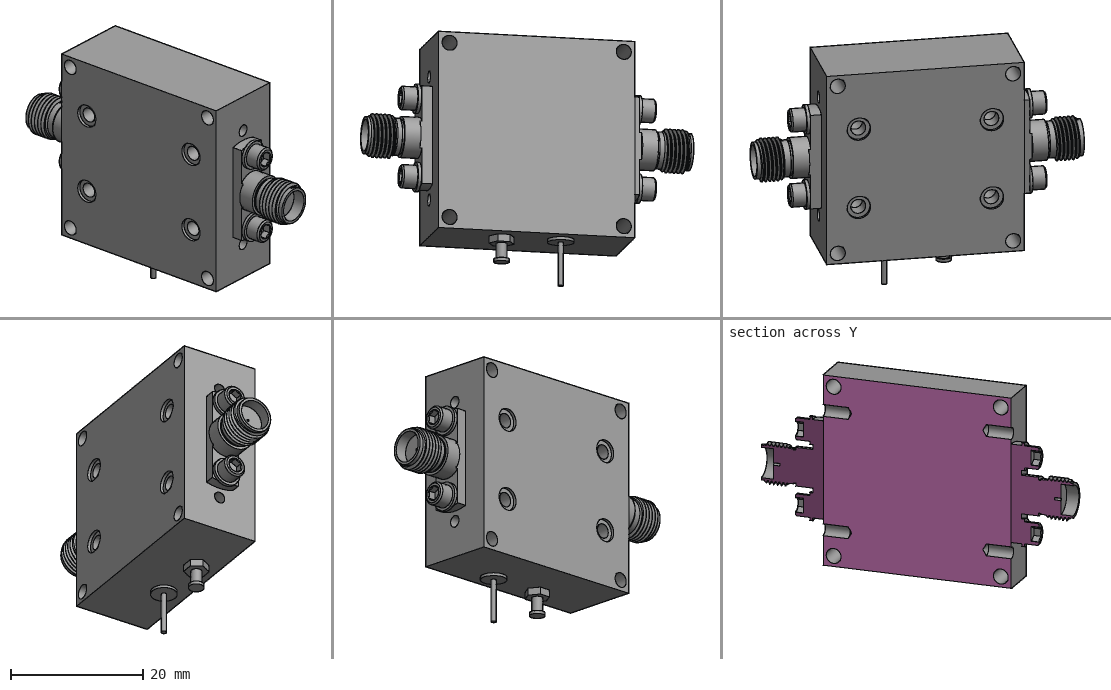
import cadquery as cq
import math

TOTAL_LENGTH = 50.55
HOUSING_SIDE = 30.55
HOUSING_DEPTH = 12.7
HALF_SIDE = HOUSING_SIDE / 2
FRONT_Y = -HOUSING_DEPTH / 2

CORNER_HOLE_SPACING = 27.1
CORNER_HOLE_DIAMETER = 2.35
MOUNT_SPACING_X = 20.55
MOUNT_SPACING_Z = 12.7
MOUNT_DIAMETER = 2.3
MOUNT_RECESS_DIAMETER = 3.6
MOUNT_RECESS_DEPTH = 0.5
MOUNT_HOLE_DEPTH = 3.05
SIDE_HOLE_SPACING = 19.1
SIDE_HOLE_DIAMETER = 1.8
SIDE_HOLE_DEPTH = 4.05
DRILL_POINT_ANGLE = 118.0

TERMINAL_X = 4.6
TERMINAL_Y = 2.6
PIN_DIAMETER = 0.8
PIN_LENGTH = 7.2
PIN_COLLAR_DIAMETER = 4.05
PIN_COLLAR_HEIGHT = 0.45
TURRET_HEX_CORNERS = 3.85
TURRET_HEX_HEIGHT = 1.1
TURRET_POST_DIAMETER = 1.7
TURRET_LENGTH = 4.0
TURRET_TIP_DIAMETER = 2.4
TURRET_TIP_HEIGHT = 0.5

CONNECTOR_LENGTH = (TOTAL_LENGTH - HOUSING_SIDE) / 2
FLANGE_THICKNESS = 1.65
FLANGE_WIDTH = 4.7
FLANGE_END_RADIUS = 7.95
SHOULDER_LENGTH = 0.3
BARREL_DIAMETER = 6.25
BARREL_END = 4.45
UNDERCUT_DIAMETER = 5.35
UNDERCUT_LENGTH = 0.3
SLEEVE_DIAMETER = 5.65
BORE_DIAMETER = 4.8
BORE_DEPTH = 1.95
CONTACT_DIAMETER = 0.33
CONTACT_DEPTH = 1.0

THREAD_PITCH = 0.63
THREAD_CREST_DIAMETER = 6.65
THREAD_ROOT_WIDTH = 0.6
THREAD_CREST_WIDTH = 0.05
THREAD_EMBED = 0.1
THREAD_TURNS = 6.5
THREAD_END_GAP = 0.4
THREAD_RUNOUT = 0.7

SCREW_SPACING = 12.2
WASHER_DIAMETER = 4.5
WASHER_THICKNESS = 0.5
HEAD_DIAMETER = 3.6
HEAD_HEIGHT = 2.35
HEAD_CHAMFER = 0.25
SOCKET_CORNERS = 2.35
SOCKET_MOUTH_DIAMETER = 2.35
SOCKET_MOUTH_CHAMFER = 0.2
SOCKET_DEPTH = 1.25


def drilled_hole(diameter, depth):
    """Cutter along +Z from the origin with a conical drill point at its end."""
    radius = diameter / 2
    point = radius / math.tan(math.radians(DRILL_POINT_ANGLE / 2))
    profile = [(0, 0), (radius, 0), (radius, depth), (0, depth + point)]
    return cq.Workplane("XZ").polyline(profile).close().revolve(360, (0, 0, 0), (0, 1, 0))


def disc(diameter, start, end):
    """Cylinder along Z from start to end."""
    return cq.Workplane("XY").workplane(offset=start).circle(diameter / 2).extrude(end - start)


def make_pin():
    """Feedthrough pin with its collar, hanging down from the origin."""
    collar = disc(PIN_COLLAR_DIAMETER, 0, -PIN_COLLAR_HEIGHT)
    return collar.union(disc(PIN_DIAMETER, 0, -PIN_LENGTH))


def make_turret():
    """Ground turret with a hexagonal base, hanging down from the origin."""
    base = cq.Workplane("XY").polygon(6, TURRET_HEX_CORNERS).extrude(-TURRET_HEX_HEIGHT)
    post = disc(TURRET_POST_DIAMETER, 0, -TURRET_LENGTH)
    tip = disc(TURRET_TIP_DIAMETER, TURRET_TIP_HEIGHT - TURRET_LENGTH, -TURRET_LENGTH)
    return base.union(post).union(tip)


def make_housing():
    """Block with its holes and the two terminals that are part of it."""
    block = cq.Workplane("XY").box(HOUSING_SIDE, HOUSING_DEPTH, HOUSING_SIDE)
    corner_holes = (
        cq.Workplane("XZ", origin=(0, FRONT_Y, 0))
        .rect(CORNER_HOLE_SPACING, CORNER_HOLE_SPACING, forConstruction=True)
        .vertices()
        .circle(CORNER_HOLE_DIAMETER / 2)
        .extrude(-HOUSING_DEPTH)
    )
    block = block.cut(corner_holes)

    mount_hole = drilled_hole(MOUNT_DIAMETER, MOUNT_HOLE_DEPTH)
    mount_hole = mount_hole.union(disc(MOUNT_RECESS_DIAMETER, 0, MOUNT_RECESS_DEPTH))
    mount_hole = mount_hole.rotate((0, 0, 0), (1, 0, 0), -90)
    side_hole = drilled_hole(SIDE_HOLE_DIAMETER, SIDE_HOLE_DEPTH)
    for x_sign in (-1, 1):
        inward_hole = side_hole.rotate((0, 0, 0), (0, 1, 0), -90 * x_sign)
        for z_sign in (-1, 1):
            mount_place = (x_sign * MOUNT_SPACING_X / 2, FRONT_Y, z_sign * MOUNT_SPACING_Z / 2)
            block = block.cut(mount_hole.translate(mount_place))
            side_place = (x_sign * HALF_SIDE, 0, z_sign * SIDE_HOLE_SPACING / 2)
            block = block.cut(inward_hole.translate(side_place))

    block = block.union(make_pin().translate((-TERMINAL_X, TERMINAL_Y, -HALF_SIDE)))
    return block.union(make_turret().translate((TERMINAL_X, TERMINAL_Y, -HALF_SIDE)))


def make_flange():
    """Narrow plate whose two ends are arcs about the connector axis."""
    slab = cq.Workplane("XY").rect(2 * FLANGE_END_RADIUS, FLANGE_WIDTH).extrude(FLANGE_THICKNESS)
    return slab.intersect(disc(2 * FLANGE_END_RADIUS, 0, FLANGE_THICKNESS))


def make_screw():
    """Socket head screw on its washer, standing on the flange."""
    head_top = WASHER_THICKNESS + HEAD_HEIGHT
    washer = disc(WASHER_DIAMETER, 0, WASHER_THICKNESS)
    head = disc(HEAD_DIAMETER, 0, head_top).faces(">Z").edges().chamfer(HEAD_CHAMFER)
    top_plane = cq.Workplane("XY").workplane(offset=head_top)
    socket = top_plane.polygon(6, SOCKET_CORNERS).extrude(-SOCKET_DEPTH)
    mouth = (
        top_plane.circle(SOCKET_MOUTH_DIAMETER / 2)
        .workplane(offset=-SOCKET_MOUTH_CHAMFER)
        .circle(SOCKET_MOUTH_DIAMETER / 2 - SOCKET_MOUTH_CHAMFER)
        .loft(ruled=True)
    )
    return washer.union(head).cut(socket).cut(mouth)


def make_thread():
    """Helical ridge around the sleeve, fading out within a double-coned envelope."""
    sleeve_radius = SLEEVE_DIAMETER / 2
    inner = sleeve_radius - THREAD_EMBED
    outer = THREAD_CREST_DIAMETER / 2
    envelope_radius = outer + THREAD_EMBED
    height = THREAD_PITCH * THREAD_TURNS
    half_root = THREAD_ROOT_WIDTH / 2
    half_crest = THREAD_CREST_WIDTH / 2
    profile = [(inner, -half_root), (inner, half_root), (outer, half_crest), (outer, -half_crest)]
    path = cq.Workplane(cq.Wire.makeHelix(THREAD_PITCH, height, inner))
    ridge = cq.Workplane("XZ").polyline(profile).close().sweep(path, isFrenet=True)
    envelope_profile = [
        (0, 0),
        (sleeve_radius, 0),
        (envelope_radius, THREAD_RUNOUT),
        (envelope_radius, height - THREAD_RUNOUT),
        (sleeve_radius, height),
        (0, height),
    ]
    envelope = (
        cq.Workplane("XZ").polyline(envelope_profile).close().revolve(360, (0, 0, 0), (0, 1, 0))
    )
    ridge = ridge.intersect(envelope)
    return ridge.translate((0, 0, CONNECTOR_LENGTH - THREAD_END_GAP - height))


def make_connector():
    """Flanged coaxial connector along +Z with the flange back on Z = 0."""
    shoulder_top = FLANGE_THICKNESS + SHOULDER_LENGTH
    barrel = disc(BARREL_DIAMETER, shoulder_top, BARREL_END)
    shoulder = disc(BARREL_DIAMETER, FLANGE_THICKNESS, shoulder_top).intersect(
        cq.Workplane("XY").box(BARREL_DIAMETER, FLANGE_WIDTH, 2 * shoulder_top)
    )
    undercut_end = BARREL_END + UNDERCUT_LENGTH
    undercut = disc(UNDERCUT_DIAMETER, BARREL_END, undercut_end)
    sleeve = disc(SLEEVE_DIAMETER, undercut_end, CONNECTOR_LENGTH)
    body = make_flange().union(shoulder).union(barrel).union(undercut).union(sleeve)
    body = body.union(make_thread())

    bore_floor = CONNECTOR_LENGTH - BORE_DEPTH
    body = body.cut(disc(BORE_DIAMETER, bore_floor, CONNECTOR_LENGTH))
    body = body.cut(disc(CONTACT_DIAMETER, bore_floor - CONTACT_DEPTH, bore_floor))

    for sign in (-1, 1):
        body = body.union(make_screw().translate((sign * SCREW_SPACING / 2, 0, FLANGE_THICKNESS)))
    return body


housing = make_housing()
connector = make_connector()
connectors = []
for side in (-1, 1):
    turned = connector.rotate((0, 0, 0), (0, 1, 0), 90 * side)
    connectors.append(turned.translate((side * HALF_SIDE, 0, 0)).solids().val())

result = cq.Compound.makeCompound([housing.solids().val(), *connectors])